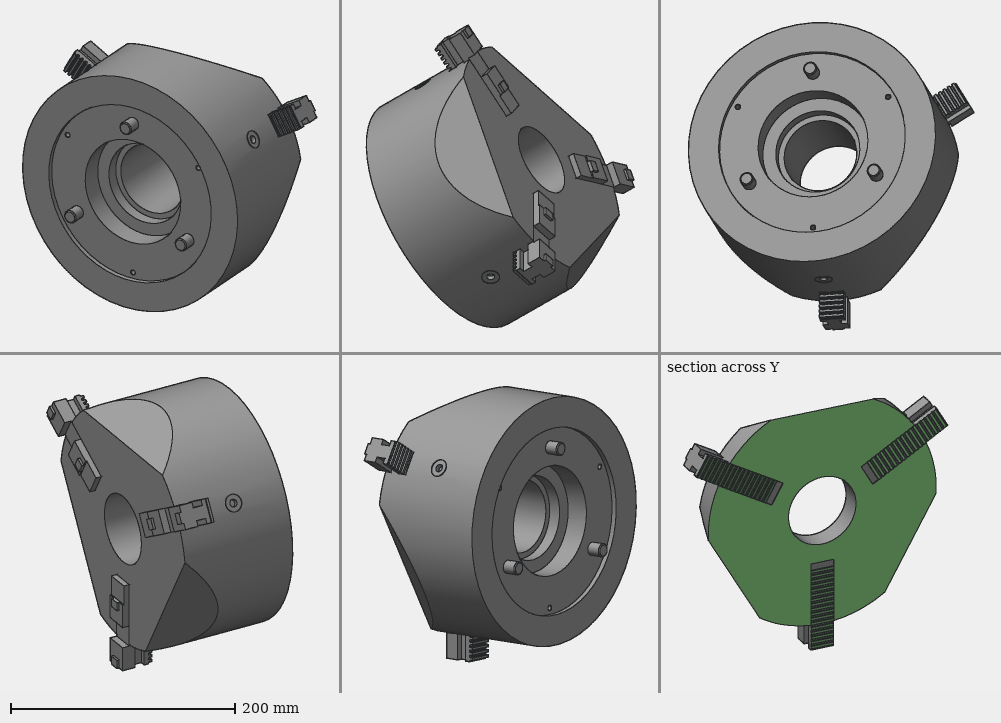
import cadquery as cq

overall_height = 249.2
body_diameter = 225.0
body_radius = body_diameter / 2
body_length = 110.1
station_count = 3
station_angles = [360 / station_count * i for i in range(station_count)]

spigot_recess_diameter = 170.0
spigot_recess_depth = 5.0
counterbore_diameter = 100.0
counterbore_floor = 26.5
step_bore_diameter = 76.5
step_bore_floor = 38.1
bore_diameter = 66.0

flat_face_radius = 87.5
flat_depth = 39.5
flat_cutter_overrun = 12.5

stud_diameter = 12.0
stud_projection = 8.5
stud_chamfer = 1.0
stud_circle_radius = 66.8
screw_hole_diameter = 4.2
screw_hole_mouth_diameter = 5.0
screw_hole_depth = 10.0
screw_circle_radius = 79.0

spotface_diameter = 16.0
spotface_depth = 0.7
radial_hole_diameter = 7.0
radial_hole_depth = 4.5
radial_hole_y = 52.0

jaw_width = 22.2
jaw_neck_width = 12.0
jaw_inner_radius = 51.0
jaw_outer_radius = overall_height - body_radius
jaw_neck_top = -6.2
jaw_neck_bottom = -15.5
jaw_underside = -20.2
jaw_top = 6.7
low_step_top = 5.5

groove_inner_radius = 93.0
groove_outer_radius = 113.5

tenon_width = 10.0
tenon_length = 8.2
tenon_top = 9.0
inner_tenon_radius = 70.0
outer_tenon_radius = jaw_outer_radius - tenon_length

tooth_pitch = 4.68
tooth_height = 3.2
tooth_width = 2.2
tooth_root_flare = 0.55
tooth_root_height = 1.0
tooth_end_margin = 1.5
tooth_count = int((jaw_outer_radius - tooth_end_margin - jaw_inner_radius) / tooth_pitch)
jaw_slot_floor = jaw_underside - tooth_height


def cylinder_y(diameter, y_start, y_end, x=0.0, z=0.0):
    """Cylinder along Y between two Y positions."""
    start = cq.Vector(x, y_start, z)
    return cq.Workplane(cq.Solid.makeCylinder(diameter / 2, y_end - y_start, start, cq.Vector(0, 1, 0)))


def box_between(x_half, y_start, y_end, r_start, r_end):
    """Block centred on X whose radius runs along +Z."""
    corner = cq.Vector(-x_half, y_start, r_start)
    return cq.Workplane(cq.Solid.makeBox(2 * x_half, y_end - y_start, r_end - r_start, corner))


def turned(shape, angle):
    """Copy of a shape modelled along +Z, turned about the chuck axis."""
    return shape.rotate((0, 0, 0), (0, 1, 0), angle)


def jaw_section(bottom, r_start, r_end):
    """Double-flanged bar that slides in the body, from its bottom up to the front face."""
    half = jaw_width / 2
    upper = box_between(half, body_length + jaw_neck_top, body_length, r_start, r_end)
    neck = box_between(
        jaw_neck_width / 2, body_length + jaw_neck_bottom, body_length + jaw_neck_top, r_start, r_end
    )
    lower = box_between(half, body_length + bottom, body_length + jaw_neck_bottom, r_start, r_end)
    return upper.union(neck).union(lower)


def flat_cutter():
    """Wedge that cuts one sloping flat on the +Z side of the body."""
    slope = (body_radius - flat_face_radius) / flat_depth
    front_y = body_length + flat_cutter_overrun
    back_y = body_length - flat_depth - flat_cutter_overrun
    inner_z = flat_face_radius - slope * flat_cutter_overrun
    outer_z = body_radius + slope * flat_cutter_overrun
    profile = [(front_y, inner_z), (back_y, outer_z), (front_y, outer_z)]
    return cq.Workplane("YZ").polyline(profile).close().extrude(body_radius, both=True)


def radial_hole():
    """Hole with a spotface, entering the rim along Z from the +Z side."""
    floor = body_radius - spotface_depth
    spotface = cq.Workplane("XY", origin=(0, radial_hole_y, floor)).circle(spotface_diameter / 2)
    hole = cq.Workplane("XY", origin=(0, radial_hole_y, floor)).circle(radial_hole_diameter / 2)
    return spotface.extrude(2 * spotface_depth).union(hole.extrude(-radial_hole_depth))


def screw_hole():
    """Screw hole with a chamfered mouth in the recess floor."""
    hole = cylinder_y(
        screw_hole_diameter, spigot_recess_depth, spigot_recess_depth + screw_hole_depth, z=screw_circle_radius
    )
    mouth_depth = (screw_hole_mouth_diameter - screw_hole_diameter) / 2
    mouth = cq.Solid.makeCone(
        screw_hole_mouth_diameter / 2,
        screw_hole_diameter / 2,
        mouth_depth,
        cq.Vector(0, spigot_recess_depth, screw_circle_radius),
        cq.Vector(0, 1, 0),
    )
    return hole.union(cq.Workplane(mouth))


def stud():
    """Chamfered stud rising from the recess floor past the mounting face."""
    shank = cylinder_y(stud_diameter, -stud_projection, spigot_recess_depth, z=stud_circle_radius)
    return shank.faces("<Y").chamfer(stud_chamfer)


def make_body():
    body = cylinder_y(body_diameter, 0, body_length)
    body = body.cut(cylinder_y(spigot_recess_diameter, 0, spigot_recess_depth))
    body = body.cut(cylinder_y(counterbore_diameter, 0, counterbore_floor))
    body = body.cut(cylinder_y(step_bore_diameter, 0, step_bore_floor))
    body = body.cut(cylinder_y(bore_diameter, 0, body_length))
    jaw_slot = jaw_section(jaw_slot_floor, jaw_inner_radius, jaw_outer_radius)
    for angle in station_angles:
        opposite = angle + 180
        body = body.cut(turned(flat_cutter(), angle))
        body = body.cut(turned(jaw_slot, opposite))
        body = body.cut(turned(radial_hole(), opposite))
        body = body.cut(turned(screw_hole(), opposite))
        body = body.union(turned(stud(), angle))
    return body


def rack_teeth():
    """Square teeth with flared roots across the jaw underside, counted inwards from its outer end."""
    root_y = body_length + jaw_underside
    flare_y = root_y - tooth_root_height
    tip_y = root_y - tooth_height
    teeth = cq.Workplane("YZ")
    for i in range(tooth_count):
        outer = jaw_outer_radius - tooth_end_margin - i * tooth_pitch
        inner = outer - tooth_width
        profile = [
            (root_y, inner - tooth_root_flare),
            (flare_y, inner),
            (tip_y, inner),
            (tip_y, outer),
            (flare_y, outer),
            (root_y, outer + tooth_root_flare),
        ]
        teeth = teeth.polyline(profile).close()
    return teeth.extrude(jaw_width / 2, both=True)


def make_jaw():
    half = jaw_width / 2
    jaw = jaw_section(jaw_underside, jaw_inner_radius, jaw_outer_radius)
    for top, r_start, r_end in (
        (low_step_top, jaw_inner_radius, inner_tenon_radius),
        (jaw_top, inner_tenon_radius, groove_inner_radius),
        (jaw_top, groove_outer_radius, jaw_outer_radius),
    ):
        jaw = jaw.union(box_between(half, body_length, body_length + top, r_start, r_end))
    for r_start in (inner_tenon_radius, outer_tenon_radius):
        tenon = box_between(
            tenon_width / 2, body_length, body_length + tenon_top, r_start, r_start + tenon_length
        )
        jaw = jaw.union(tenon)
    return jaw.union(rack_teeth())


chuck_body = make_body()
jaw_shape = make_jaw()
jaws = [turned(jaw_shape, angle + 180) for angle in station_angles]

result = cq.Compound.makeCompound([chuck_body.val(), *[jaw.val() for jaw in jaws]])